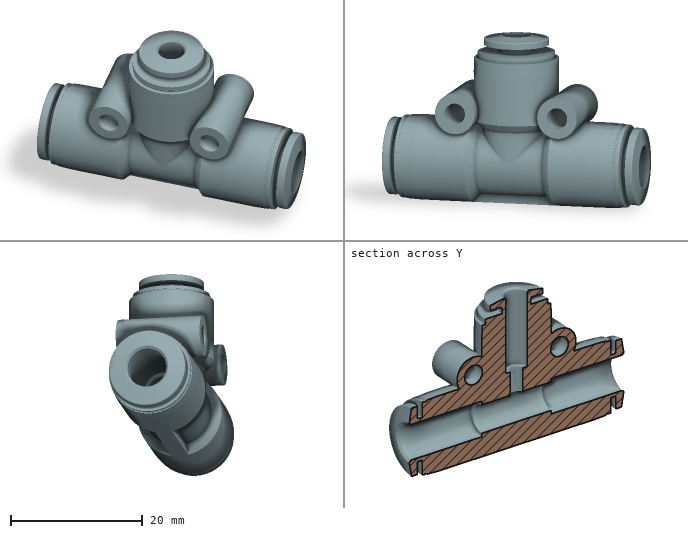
import cadquery as cq

overall_length = 40.1
body_radius = 6.5
waist_radius = 5.2
cone_length = body_radius - waist_radius
collar_groove_depth = 0.1
release_edge_round = 0.15

run_tip = overall_length / 2
run_taper_start = 14.55
run_sleeve_end = 16.7
run_sleeve_end_radius = 12.8 / 2
run_groove_start = 16.9
run_groove_end = 17.1
run_collar_end = 17.6
run_collar_radius = 6.3
run_neck_radius = 7.4 / 2
run_neck_flare_start = 18.2
run_neck_flare_radius = 3.85
run_flange_back = 18.5
run_flange_radius = 5.9
run_flange_front = 19.6
run_bore_radius = 2.4
run_socket_radius = 3.0
run_mouth_radius = 3.35

branch_tip = 19.5
branch_taper_start = 14.05
branch_sleeve_end = 16.05
branch_sleeve_end_radius = 6.45
branch_groove_start = 16.3
branch_groove_end = 16.45
branch_collar_end = 16.95
branch_collar_radius = 5.9
branch_neck_radius = 5.4 / 2
branch_neck_flare_start = 17.72
branch_neck_flare_radius = 2.9
branch_flange_back = 18.05
branch_flange_radius = 9.9 / 2
branch_flange_front = 19.0
branch_bore_radius = 2.3 / 2
branch_socket_radius = 2.0
branch_mouth_radius = 2.3

socket_floor = body_radius

lug_offset = 8.0
lug_radius = 6.2 / 2
lug_hole_radius = 1.6
lug_length = 2 * body_radius

rib_thickness = 2.65


def revolve_about_z(points):
    """Turn an outline of (radius, height) points about the Z axis."""
    return cq.Workplane("XZ").polyline(points).close().revolve(360, (0, 0, 0), (0, 1, 0))


def both_ways_along_x(shape):
    """Lay an upright shape along +X and join it to its mirror image along -X."""
    laid = shape.rotate((0, 0, 0), (0, 1, 0), 90)
    return laid.union(laid.mirror("YZ"))


def sleeve_points(taper_start, sleeve_end, sleeve_end_radius):
    """Outline from the waist cone to the outer end of the tapered sleeve."""
    return [
        (waist_radius, body_radius - cone_length),
        (body_radius, body_radius),
        (body_radius, taper_start),
        (sleeve_end_radius, sleeve_end),
    ]


def collar_points(sleeve_end, groove_start, groove_end, collar_end, radius):
    """Outline of the grooved collar on the end of a sleeve."""
    groove_radius = radius - collar_groove_depth
    return [
        (radius, sleeve_end),
        (radius, groove_start),
        (groove_radius, groove_start),
        (groove_radius, groove_end),
        (radius, groove_end),
        (radius, collar_end),
    ]


def release_button(collar_end, neck_radius, flare_start, flare_radius,
                   flange_back, flange_radius, flange_front, mouth_radius, tip):
    """Flared neck and flange with a shallow conical face and a rounded rim."""
    button = revolve_about_z([
        (0, collar_end),
        (neck_radius, collar_end),
        (neck_radius, flare_start),
        (flare_radius, flange_back),
        (flange_radius, flange_back),
        (flange_radius, flange_front),
        (mouth_radius, tip),
        (0, tip),
    ])
    widest_edges = button.edges("%CIRCLE").edges(cq.selectors.RadiusNthSelector(-1))
    rim_edge = widest_edges.edges(">Z")
    return rim_edge.fillet(release_edge_round)


def arm(sleeve, collar, collar_end, button):
    """Upright arm: waist, sleeve, collar and release button."""
    housing = revolve_about_z(
        [(0, 0), (waist_radius, 0)] + sleeve + collar + [(0, collar_end)]
    )
    return housing.union(button)


def port(bore_radius, socket_radius, mouth_radius, tip):
    """Upright cutter: bore, tube socket and chamfered mouth."""
    mouth_depth = mouth_radius - socket_radius
    return revolve_about_z([
        (0, 0),
        (bore_radius, 0),
        (bore_radius, socket_floor),
        (socket_radius, socket_floor),
        (socket_radius, tip - mouth_depth),
        (mouth_radius, tip),
        (0, tip),
    ])


def rod_along_y(x, radius):
    """Rod at lug height, centred on the XZ plane."""
    return (
        cq.Workplane("XZ", origin=(0, lug_length / 2, 0))
        .center(x, lug_offset)
        .circle(radius)
        .extrude(lug_length)
    )


run_arm = arm(
    sleeve_points(run_taper_start, run_sleeve_end, run_sleeve_end_radius),
    collar_points(run_sleeve_end, run_groove_start, run_groove_end,
                  run_collar_end, run_collar_radius),
    run_collar_end,
    release_button(run_collar_end, run_neck_radius, run_neck_flare_start,
                   run_neck_flare_radius, run_flange_back, run_flange_radius,
                   run_flange_front, run_mouth_radius, run_tip),
)
branch_arm = arm(
    sleeve_points(branch_taper_start, branch_sleeve_end, branch_sleeve_end_radius),
    collar_points(branch_sleeve_end, branch_groove_start, branch_groove_end,
                  branch_collar_end, branch_collar_radius),
    branch_collar_end,
    release_button(branch_collar_end, branch_neck_radius, branch_neck_flare_start,
                   branch_neck_flare_radius, branch_flange_back, branch_flange_radius,
                   branch_flange_front, branch_mouth_radius, branch_tip),
)
run_port = port(run_bore_radius, run_socket_radius, run_mouth_radius, run_tip)
branch_port = port(branch_bore_radius, branch_socket_radius, branch_mouth_radius, branch_tip)

rib_slab = cq.Workplane("XY").box(
    2 * body_radius, rib_thickness, body_radius, centered=(True, True, False)
).translate((0, 0, -body_radius))
rib_envelope = cq.Workplane("YZ").circle(body_radius).extrude(body_radius, both=True)
rib = rib_slab.intersect(rib_envelope)

result = branch_arm.union(both_ways_along_x(run_arm)).union(rib)
for side in (-1, 1):
    result = result.union(rod_along_y(side * lug_offset, lug_radius))

result = result.cut(branch_port).cut(both_ways_along_x(run_port))
for side in (-1, 1):
    result = result.cut(rod_along_y(side * lug_offset, lug_hole_radius))